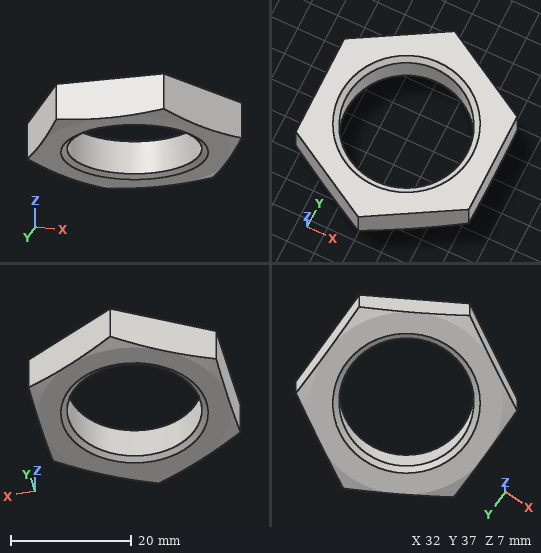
import cadquery as cq
import math

across_corners = 36.95
across_flats = across_corners * math.cos(math.radians(30))
height = 7.0

bore_diameter = 22.4
countersink_diameter = 24.5
countersink_angle = 30.0

bevel_angle = 15.0

bore_radius = bore_diameter / 2
countersink_radius = countersink_diameter / 2
countersink_depth = (countersink_radius - bore_radius) * math.tan(math.radians(countersink_angle))
corner_radius = across_corners / 2
flat_radius = across_flats / 2
bevel_height = (corner_radius - flat_radius) * math.tan(math.radians(bevel_angle))


def hexagonal_body():
    """Hexagonal prism resting on the XY plane."""
    return (
        cq.Workplane("XY")
        .polygon(6, across_corners)
        .extrude(height)
        .rotate((0, 0, 0), (0, 0, 1), 30)
    )


def turned_profile():
    """Ring with the bevelled outside and countersunk bore, revolved about Z."""
    return (
        cq.Workplane("XZ")
        .moveTo(countersink_radius, 0)
        .lineTo(flat_radius, 0)
        .lineTo(corner_radius, bevel_height)
        .lineTo(corner_radius, height)
        .lineTo(countersink_radius, height)
        .lineTo(bore_radius, height - countersink_depth)
        .lineTo(bore_radius, countersink_depth)
        .close()
        .revolve(360, (0, 0, 0), (0, 1, 0))
    )


result = hexagonal_body().intersect(turned_profile())